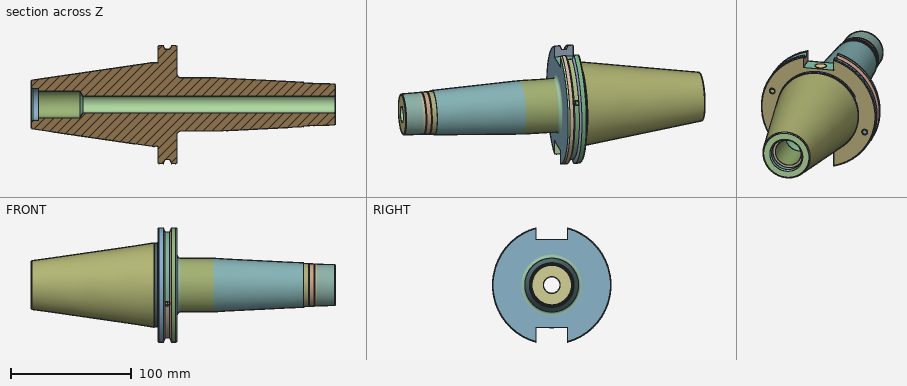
import cadquery as cq
import math

total_length = 251.5
gauge_x = 101.6
flange_start_x = 105.0
flange_end_x = 120.8
shank_cone_start_x = 151.2
band_start_x = 225.2
nose_start_x = 236.5

gauge_radius = 35.0
taper_slope = 7 / 24 / 2
taper_end_radius = gauge_radius - gauge_x * taper_slope
taper_end_chamfer = 0.8
relief_radius = 69.2 / 2
relief_chamfer = 0.8
relief_fillet = 0.8

flange_radius = 49.0
flange_front_chamfer_length = 0.8
flange_back_chamfer_length = 1.5
flange_front_chamfer_depth = 0.8
flange_back_chamfer_depth = 0.5
groove_x = 112.7
groove_floor_radius = 45.8
groove_floor_width = 3.8
groove_wall_angle = 25.0
groove_wall_run = (flange_radius - groove_floor_radius) * math.tan(math.radians(groove_wall_angle))
groove_floor_half = groove_floor_width / 2
groove_mouth_half = groove_floor_half + groove_wall_run

shank_radius = 44.5 / 2
shank_fillet = 2.8
arc_middle_ratio = 1 - math.sqrt(0.5)
shank_cone_angle = 2.9
shank_slope = math.tan(math.radians(shank_cone_angle))
band_step = 0.5
nose_end_radius = 17.0
nose_chamfer = 0.8
ring_groove_positions = (229.7, 234.2)
ring_groove_width = 0.8
ring_groove_depth = 0.3

mouth_radius = 14.0
mouth_chamfer_length = 1.5
counterbore_radius = 26.2 / 2
counterbore_depth = 6.0
thread_bore_radius = 22.0 / 2
thread_bore_depth = 40.3
through_radius = 13.5 / 2
drill_tip_angle = 118.0
drill_tip_slope = math.tan(math.radians(drill_tip_angle / 2))
bore_cone_length = (thread_bore_radius - through_radius) / drill_tip_slope

slot_width = 26.0
upper_slot_floor = 37.7
lower_slot_floor = 35.2
dimple_diameter = 9.5
dimple_x = 112.2

coolant_angle = 20.0
coolant_circle_radius = 42.0
coolant_mouth_diameter = 5.0
coolant_axial_diameter = 4.0
coolant_countersink_depth = 0.5
radial_hole_diameter = 4.0


def cone_radius(x):
    """Radius of the shank's outer cone at station x."""
    return shank_radius - (x - shank_cone_start_x) * shank_slope


def revolve_profile(profile):
    return profile.close().revolve(360, (0, 0, 0), (1, 0, 0))


def make_body():
    band_start_radius = cone_radius(band_start_x) - band_step
    band_end_radius = cone_radius(nose_start_x) - band_step
    front_rim_radius = flange_radius - flange_front_chamfer_depth
    back_rim_radius = flange_radius - flange_back_chamfer_depth
    relief_arc_offset = relief_fillet * arc_middle_ratio
    shank_arc_offset = shank_fillet * arc_middle_ratio
    profile = (
        cq.Workplane("XY")
        .moveTo(0, 0)
        .lineTo(0, taper_end_radius - taper_end_chamfer)
        .lineTo(taper_end_chamfer, taper_end_radius + taper_end_chamfer * taper_slope)
        .lineTo(gauge_x, gauge_radius)
        .lineTo(gauge_x + relief_chamfer, relief_radius)
        .lineTo(flange_start_x - relief_fillet, relief_radius)
        .threePointArc(
            (flange_start_x - relief_arc_offset, relief_radius + relief_arc_offset),
            (flange_start_x, relief_radius + relief_fillet),
        )
        .lineTo(flange_start_x, front_rim_radius)
        .lineTo(flange_start_x + flange_front_chamfer_length, flange_radius)
        .lineTo(groove_x - groove_mouth_half, flange_radius)
        .lineTo(groove_x - groove_floor_half, groove_floor_radius)
        .lineTo(groove_x + groove_floor_half, groove_floor_radius)
        .lineTo(groove_x + groove_mouth_half, flange_radius)
        .lineTo(flange_end_x - flange_back_chamfer_length, flange_radius)
        .lineTo(flange_end_x, back_rim_radius)
        .lineTo(flange_end_x, shank_radius + shank_fillet)
        .threePointArc(
            (flange_end_x + shank_arc_offset, shank_radius + shank_arc_offset),
            (flange_end_x + shank_fillet, shank_radius),
        )
        .lineTo(shank_cone_start_x, shank_radius)
        .lineTo(band_start_x, cone_radius(band_start_x))
        .lineTo(band_start_x, band_start_radius)
        .lineTo(nose_start_x, band_end_radius)
        .lineTo(total_length - nose_chamfer, nose_end_radius)
        .lineTo(total_length, nose_end_radius - nose_chamfer)
        .lineTo(total_length, 0)
    )
    return revolve_profile(profile)


def make_bore():
    return revolve_profile(
        cq.Workplane("XY")
        .moveTo(0, 0)
        .lineTo(0, mouth_radius)
        .lineTo(mouth_chamfer_length, counterbore_radius)
        .lineTo(counterbore_depth, counterbore_radius)
        .lineTo(counterbore_depth, thread_bore_radius)
        .lineTo(thread_bore_depth, thread_bore_radius)
        .lineTo(thread_bore_depth + bore_cone_length, through_radius)
        .lineTo(total_length, through_radius)
        .lineTo(total_length, 0)
    )


def make_ring_groove(x):
    floor_radius = cone_radius(x) - band_step - ring_groove_depth
    ring = cq.Workplane("YZ", origin=(x - ring_groove_width / 2, 0, 0))
    return ring.circle(shank_radius).circle(floor_radius).extrude(ring_groove_width)


def make_slot(floor, side):
    """Drive slot through the flange rim; side is +1 for +Z and -1 for -Z."""
    height = flange_radius - floor
    length = flange_end_x - flange_start_x
    centre = ((flange_start_x + flange_end_x) / 2, 0, side * (floor + height / 2))
    return cq.Workplane("XY").box(length, slot_width, height).translate(centre)


def make_dimple():
    radius = dimple_diameter / 2
    depth = radius / drill_tip_slope
    cone = cq.Solid.makeCone(
        radius, 0, depth, cq.Vector(dimple_x, 0, upper_slot_floor), cq.Vector(0, 0, -1)
    )
    return cq.Workplane(cone)


def make_coolant_channel(side):
    """Countersunk axial hole in the flange face that meets a radial hole from the groove floor."""
    angle = math.radians(coolant_angle)
    outward = cq.Vector(0, side * math.cos(angle), side * math.sin(angle))
    centre = outward * coolant_circle_radius
    mouth = cq.Vector(flange_start_x, 0, 0) + centre
    inward = cq.Vector(1, 0, 0)
    countersink = cq.Solid.makeCone(
        coolant_mouth_diameter / 2,
        coolant_axial_diameter / 2,
        coolant_countersink_depth,
        mouth,
        inward,
    )
    axial = cq.Solid.makeCylinder(
        coolant_axial_diameter / 2, groove_x - flange_start_x, mouth, inward
    )
    radial = cq.Solid.makeCylinder(
        radial_hole_diameter / 2,
        flange_radius - coolant_circle_radius,
        cq.Vector(groove_x, 0, 0) + centre,
        outward,
    )
    return cq.Workplane(axial).union(cq.Workplane(radial)).union(cq.Workplane(countersink))


result = make_body().cut(make_bore())

for ring_x in ring_groove_positions:
    result = result.cut(make_ring_groove(ring_x))

result = result.cut(make_slot(upper_slot_floor, 1))
result = result.cut(make_slot(lower_slot_floor, -1))
result = result.cut(make_dimple())

for side in (1, -1):
    result = result.cut(make_coolant_channel(side))